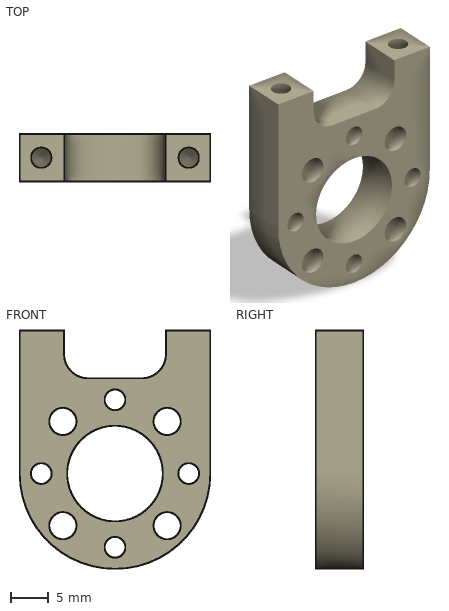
import cadquery as cq
import math

width = 25.4
height = 31.75
thickness = 6.35
end_radius = width / 2
top_z = height - end_radius

notch_width = 13.53
notch_depth = 6.35
notch_corner_radius = 3.18

bore_diameter = 12.7
ring_radius = 9.8
small_hole_diameter = 2.73
large_hole_diameter = 3.6
holes_per_set = 4

arm_hole_diameter = small_hole_diameter
arm_hole_offset = ring_radius
arm_hole_depth = 7.95
drill_point_angle = 118.0


def make_plate():
    return (
        cq.Workplane("XZ")
        .moveTo(-end_radius, top_z)
        .lineTo(-end_radius, 0)
        .threePointArc((0, -end_radius), (end_radius, 0))
        .lineTo(end_radius, top_z)
        .close()
        .extrude(thickness / 2, both=True)
    )


def make_notch():
    """Open-topped notch with rounded lower corners."""
    return (
        cq.Workplane("XY")
        .workplane(offset=top_z - notch_depth)
        .rect(notch_width, thickness)
        .extrude(notch_depth)
        .edges("|Y and <Z")
        .fillet(notch_corner_radius)
    )


def make_hole_ring(diameter, start_angle):
    """Through holes evenly spaced around the bore."""
    return (
        cq.Workplane("XZ")
        .polarArray(ring_radius, start_angle, 360, holes_per_set)
        .circle(diameter / 2)
        .extrude(thickness / 2, both=True)
    )


def make_arm_hole(x):
    """Blind hole with a conical bottom, revolved about its own axis."""
    radius = arm_hole_diameter / 2
    point_length = radius / math.tan(math.radians(drill_point_angle / 2))
    return (
        cq.Workplane("XZ", origin=(x, 0, top_z))
        .moveTo(0, 0)
        .lineTo(radius, 0)
        .lineTo(radius, -arm_hole_depth)
        .lineTo(0, -arm_hole_depth - point_length)
        .close()
        .revolve(360, (0, 0), (0, 1))
    )


bore = cq.Workplane("XZ").circle(bore_diameter / 2).extrude(thickness / 2, both=True)

result = make_plate().cut(make_notch()).cut(bore)
result = result.cut(make_hole_ring(small_hole_diameter, 0))
result = result.cut(make_hole_ring(large_hole_diameter, 180 / holes_per_set))
for side in (-1, 1):
    result = result.cut(make_arm_hole(side * arm_hole_offset))